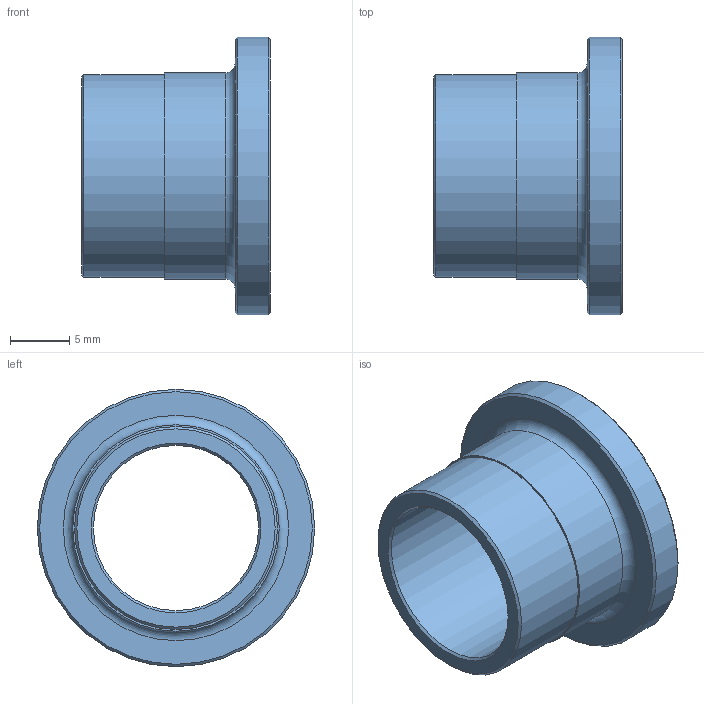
import cadquery as cq
import math

total_length = 16.0
flange_diameter = 23.5
flange_thickness = 3.0
shoulder_diameter = 17.5
nose_diameter = 17.2
nose_length = 7.0
bore_diameter = 14.0
edge_chamfer = 0.2
neck_fillet_radius = 0.8

flange_radius = flange_diameter / 2
shoulder_radius = shoulder_diameter / 2
nose_radius = nose_diameter / 2
bore_radius = bore_diameter / 2
flange_start = total_length - flange_thickness

fillet_start = flange_start - neck_fillet_radius
fillet_top = shoulder_radius + neck_fillet_radius
fillet_diagonal = neck_fillet_radius * math.sqrt(0.5)
fillet_middle = (fillet_start + fillet_diagonal, fillet_top - fillet_diagonal)


def half_section():
    """Closed wall section in the XY plane: distance along the axis, radius."""
    return (
        cq.Workplane("XY")
        .moveTo(0, bore_radius + edge_chamfer)
        .lineTo(0, nose_radius - edge_chamfer)
        .lineTo(edge_chamfer, nose_radius)
        .lineTo(nose_length, nose_radius)
        .lineTo(nose_length, shoulder_radius)
        .lineTo(fillet_start, shoulder_radius)
        .threePointArc(fillet_middle, (flange_start, fillet_top))
        .lineTo(flange_start, flange_radius - edge_chamfer)
        .lineTo(flange_start + edge_chamfer, flange_radius)
        .lineTo(total_length - edge_chamfer, flange_radius)
        .lineTo(total_length, flange_radius - edge_chamfer)
        .lineTo(total_length, bore_radius)
        .lineTo(edge_chamfer, bore_radius)
        .close()
    )


result = half_section().revolve(360, (0, 0, 0), (1, 0, 0))